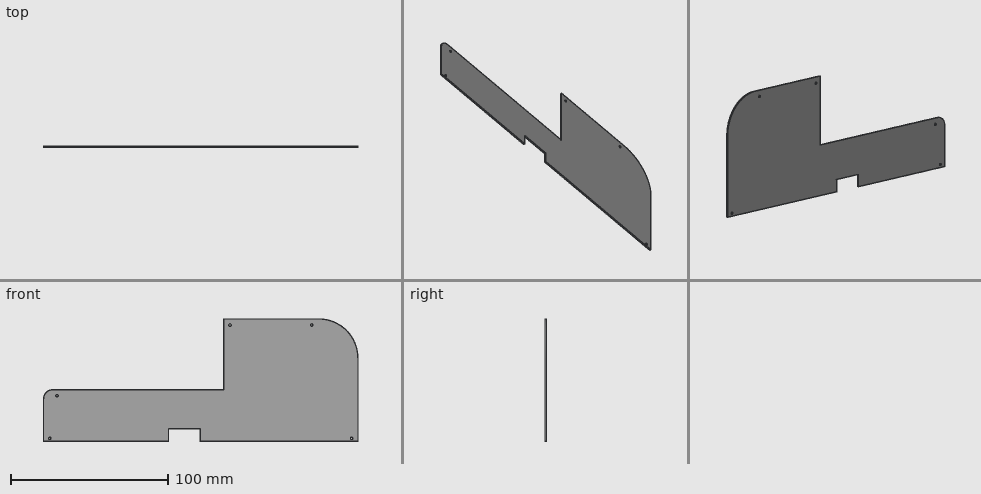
import cadquery as cq

length = 200.0
height = 78.0
thickness = 1.0

arm_length = 114.5
arm_height = 33.0
arm_corner_radius = 6.0
panel_corner_radius = 25.0

notch_start = 79.5
notch_width = 20.0
notch_height = 8.0

hole_diameter = 1.5
edge_margin = 4.0
bottom_hole_height = 2.0
arm_hole_x = 8.5
panel_hole_spacing = 52.0

hole_centers = [
    (edge_margin, bottom_hole_height),
    (length - edge_margin, bottom_hole_height),
    (arm_hole_x, arm_height - edge_margin),
    (arm_length + edge_margin, height - edge_margin),
    (arm_length + edge_margin + panel_hole_spacing, height - edge_margin),
]


def make_plate():
    """L-shaped plate in the XZ plane with two rounded upper corners."""
    arm = cq.Workplane("XY").box(length, thickness, arm_height, centered=False)
    arm = arm.faces(">Z").edges("<X").fillet(arm_corner_radius)
    panel = (
        cq.Workplane("XY")
        .box(length - arm_length, thickness, height, centered=False)
        .faces(">Z")
        .edges(">X")
        .fillet(panel_corner_radius)
        .translate((arm_length, 0, 0))
    )
    return arm.union(panel)


def make_notch():
    """Rectangular cutter open at the bottom edge."""
    notch = cq.Workplane("XY").box(notch_width, thickness, notch_height, centered=False)
    return notch.translate((notch_start, 0, 0))


def make_holes():
    """Cutters through the full thickness (the XZ plane extrudes toward -Y)."""
    return cq.Workplane("XZ").pushPoints(hole_centers).circle(hole_diameter / 2).extrude(-thickness)


result = make_plate().cut(make_notch()).cut(make_holes())